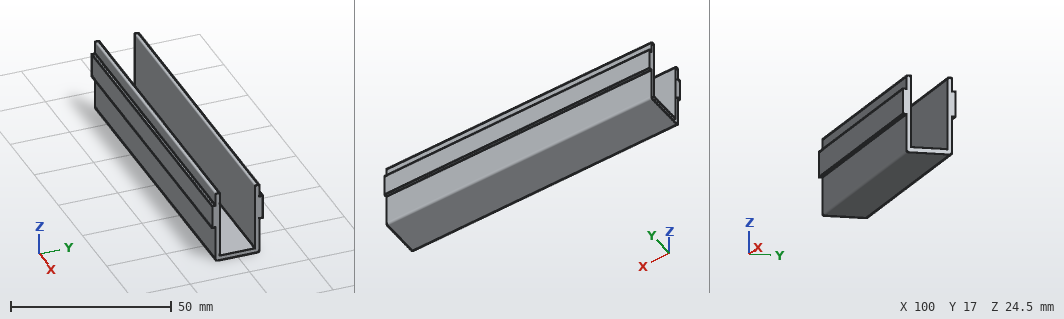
import cadquery as cq

length = 100.0
height = 24.5
body_width = 14.8
wall = 1.5
floor = 1.7

overall_width = 17.0
band_height = 8.0
band_top_drop = 4.3

tip_radius = 0.5
base_radius = 0.8

inner_width = body_width - 2 * wall
band_middle = height - band_top_drop - band_height / 2


def bar(width, bar_height, middle_z):
    """Full-length rectangular bar centred on X and Y."""
    return cq.Workplane("XY").box(length, width, bar_height).translate((0, 0, middle_z))


channel = bar(body_width, height, height / 2).cut(
    bar(inner_width, height, floor + height / 2)
)

channel = channel.faces(">Z").edges("|X").fillet(tip_radius)
channel = channel.faces("<Z").edges("|X").fillet(base_radius)

bands = bar(overall_width, band_height, band_middle).cut(
    bar(inner_width, band_height, band_middle)
)

result = channel.union(bands)